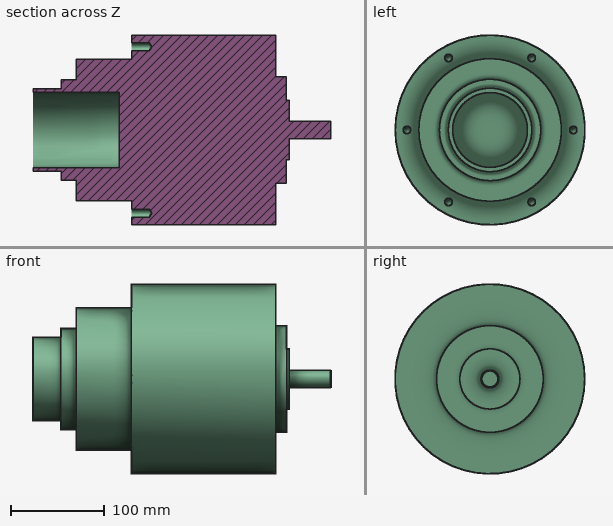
import cadquery as cq
import math

total_length = 318.8
spigot_end = 30.0
collar_end = 46.2
bore_depth = 92.0
neck_end = 105.2
drum_end = 259.8
bearing_boss_end = 271.3
shaft_shoulder_end = 274.0

spigot_diameter = 89.3
bore_diameter = 80.0
collar_diameter = 108.5
neck_diameter = 152.5
drum_diameter = 203.0
bearing_boss_diameter = 114.0
shaft_shoulder_diameter = 64.5
shaft_diameter = 19.0
shaft_chamfer = 1.0

hole_count = 6
hole_circle_diameter = 178.0
hole_diameter = 8.0
hole_depth = 19.0
drill_point_angle = 118.0

mid_x = total_length / 2


def cylinder(start, end, diameter):
    """Solid cylinder about the X axis between two stations."""
    return (
        cq.Workplane("YZ", origin=(start - mid_x, 0, 0))
        .circle(diameter / 2)
        .extrude(end - start)
    )


def drilled_hole(angle):
    """Drilled hole with a conical bottom, at an angle from +Y around the X axis."""
    radius = hole_diameter / 2
    tip_length = radius / math.tan(math.radians(drill_point_angle / 2))
    drill = (
        cq.Workplane("XY")
        .lineTo(0, radius)
        .lineTo(hole_depth, radius)
        .lineTo(hole_depth + tip_length, 0)
        .close()
        .revolve(360, (0, 0, 0), (1, 0, 0))
    )
    placed = drill.translate((neck_end - mid_x, hole_circle_diameter / 2, 0))
    return placed.rotate((0, 0, 0), (1, 0, 0), angle)


body = cylinder(0, spigot_end, spigot_diameter)
body = body.union(cylinder(spigot_end, collar_end, collar_diameter))
body = body.union(cylinder(collar_end, neck_end, neck_diameter))
body = body.union(cylinder(neck_end, drum_end, drum_diameter))
body = body.union(cylinder(drum_end, bearing_boss_end, bearing_boss_diameter))
body = body.union(cylinder(bearing_boss_end, shaft_shoulder_end, shaft_shoulder_diameter))

shaft = cylinder(shaft_shoulder_end, total_length, shaft_diameter)
body = body.union(shaft.faces(">X").chamfer(shaft_chamfer))

body = body.cut(cylinder(0, bore_depth, bore_diameter))

for index in range(hole_count):
    body = body.cut(drilled_hole(index * 360 / hole_count))

result = body